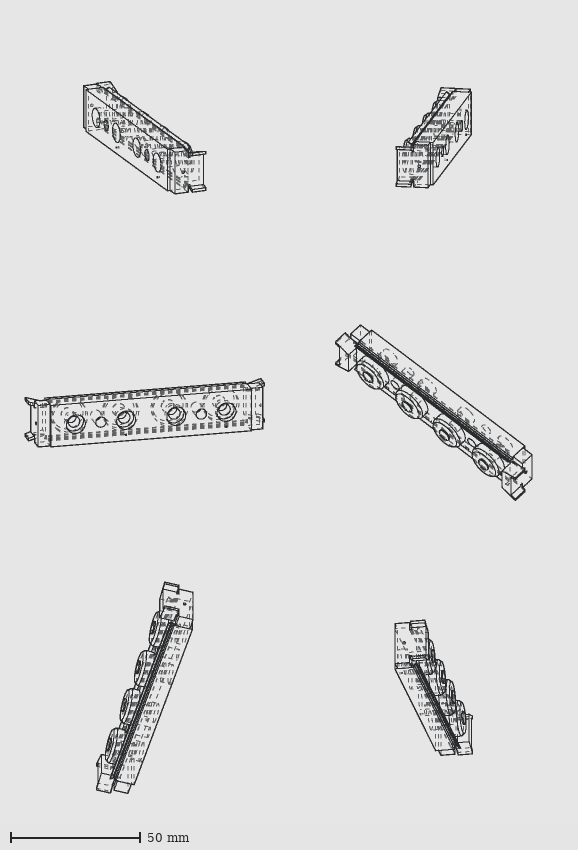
import cadquery as cq

OVERALL_LENGTH = 94.0
OVERALL_DEPTH = 13.3
HEIGHT = 17.0
HALF_HEIGHT = HEIGHT / 2

BODY_LENGTH = 80.1
BODY_DEPTH = 8.65
SHOULDER_Y = 7.3

SEAL_THICKNESS = 0.33
SEAL_ROOT_Y = 6.1
SEAL_EXIT_Y = 7.7
SEAL_EXIT_Z = 7.8
SEAL_FOLD_Y = 8.2
SEAL_FOLD_Z = 7.05
SEAL_TIP_Y = 9.7
SEAL_TIP_Z = 8.4
LIP_SLOPE = (SEAL_TIP_Z - SEAL_FOLD_Z) / (SEAL_TIP_Y - SEAL_FOLD_Y)

BORE_SPACING = 20.0
BORE_X = [step * BORE_SPACING for step in (-1.5, -0.5, 0.5, 1.5)]
COUNTERBORE_DIAMETER = 7.5
COUNTERBORE_DEPTH = 3.0
BOLT_HOLE_DIAMETER = 4.5
MOUNTING_HOLE_X = [-BORE_SPACING, BORE_SPACING]
MOUNTING_HOLE_DIAMETER = 4.1

MARKER_X = [BORE_X[1], BORE_X[3]]
MARKER_Z = -6.0
MARKER_DIAMETER = 0.5
MARKER_DEPTH = 0.9

CAP_LENGTH = 89.7
CAP_FRONT_Y = 1.1
SLOT_FRONT_Y = 6.8
SLOT_BACK_Y = 7.5
SLOT_HALF_HEIGHT = 5.5
WING_TIP_Z = 8.0
WING_ROOT_Z = 5.8
WING_THICKNESS = 1.1
DIMPLE_Y = 4.6
DIMPLE_DIAMETER = 1.0

OUTER_ROLLER_X = 30.2
INNER_ROLLER_X = 9.8
ROLLER_X = [-OUTER_ROLLER_X, -INNER_ROLLER_X, INNER_ROLLER_X, OUTER_ROLLER_X]
ROLLER_DIAMETER = 13.9
ROLLER_TOP_Y = 12.8
ROLLER_CHAMFER_WIDTH = 0.8
ROLLER_CHAMFER_HEIGHT = 1.1
BOSS_DIAMETER = 5.0


def cylinder(x, z, y_start, y_end, diameter):
    """A cylinder along +Y between two depths."""
    return cq.Workplane(
        cq.Solid.makeCylinder(diameter / 2, y_end - y_start, cq.Vector(x, y_start, z), cq.Vector(0, 1, 0))
    )


def make_body():
    """Long block whose rear shoulders are cut back to hold the seal strips."""
    underside_exit_z = SEAL_EXIT_Z - SEAL_THICKNESS
    underside_fold_z = SEAL_FOLD_Z - SEAL_THICKNESS
    upper_profile = [
        (0, HALF_HEIGHT),
        (SHOULDER_Y, HALF_HEIGHT),
        (SEAL_EXIT_Y, SEAL_EXIT_Z),
        (SEAL_ROOT_Y, SEAL_EXIT_Z),
        (SEAL_ROOT_Y, underside_exit_z),
        (SEAL_EXIT_Y, underside_exit_z),
        (SEAL_FOLD_Y, underside_fold_z),
        (BODY_DEPTH, underside_fold_z + LIP_SLOPE * (BODY_DEPTH - SEAL_FOLD_Y)),
    ]
    lower_profile = [(y, -z) for y, z in reversed(upper_profile)]
    body = (
        cq.Workplane("YZ")
        .polyline(upper_profile + lower_profile)
        .close()
        .extrude(BODY_LENGTH / 2, both=True)
    )
    for x in BORE_X:
        body = body.cut(cylinder(x, 0, 0, COUNTERBORE_DEPTH, COUNTERBORE_DIAMETER))
        body = body.cut(cylinder(x, 0, 0, BODY_DEPTH, BOLT_HOLE_DIAMETER))
    for x in MOUNTING_HOLE_X:
        body = body.cut(cylinder(x, 0, 0, BODY_DEPTH, MOUNTING_HOLE_DIAMETER))
    for x in MARKER_X:
        body = body.cut(cylinder(x, MARKER_Z, 0, MARKER_DEPTH, MARKER_DIAMETER))
    return body


def make_upper_seal():
    """Thin folded strip along the upper rear edge of the body, its lip cut off square."""
    square_cut_y = SEAL_THICKNESS * LIP_SLOPE / (1 + LIP_SLOPE**2)
    inner_tip = (SEAL_TIP_Y + square_cut_y, SEAL_TIP_Z - SEAL_THICKNESS + LIP_SLOPE * square_cut_y)
    outer_side = [
        (SEAL_ROOT_Y, SEAL_EXIT_Z),
        (SEAL_EXIT_Y, SEAL_EXIT_Z),
        (SEAL_FOLD_Y, SEAL_FOLD_Z),
        (SEAL_TIP_Y, SEAL_TIP_Z),
    ]
    inner_side = [(y, z - SEAL_THICKNESS) for y, z in reversed(outer_side[:-1])]
    return (
        cq.Workplane("YZ")
        .polyline(outer_side + [inner_tip] + inner_side)
        .close()
        .extrude(BODY_LENGTH / 2, both=True)
    )


def make_left_cap():
    """End cap: a block, then a slotted neck, then a wiper head with two flared wings."""
    outer_x = -CAP_LENGTH / 2
    inner_x = -BODY_LENGTH / 2
    tip_x = -OVERALL_LENGTH / 2
    cap_thickness = inner_x - outer_x

    def slab(y_start, y_end, half_height):
        return cq.Workplane("XY").box(
            cap_thickness, y_end - y_start, 2 * half_height, centered=(False, False, True)
        ).translate((outer_x, y_start, 0))

    block = slab(CAP_FRONT_Y, SLOT_FRONT_Y, HALF_HEIGHT)
    neck = slab(SLOT_FRONT_Y, SLOT_BACK_Y, SLOT_HALF_HEIGHT)

    wing_slope = (WING_TIP_Z - WING_ROOT_Z) / (inner_x - tip_x)
    underside_z = WING_TIP_Z - WING_THICKNESS - wing_slope * (outer_x - tip_x)
    upper_profile = [
        (inner_x, WING_ROOT_Z),
        (tip_x, WING_TIP_Z),
        (tip_x, WING_TIP_Z - WING_THICKNESS),
        (outer_x, underside_z),
    ]
    lower_profile = [(x, -z) for x, z in reversed(upper_profile)]
    head = (
        cq.Workplane("XZ", origin=(0, SLOT_BACK_Y, 0))
        .polyline(upper_profile + lower_profile)
        .close()
        .extrude(SLOT_BACK_Y - OVERALL_DEPTH)
    )

    dimple = cq.Workplane(
        cq.Solid.makeCone(
            DIMPLE_DIAMETER / 2, 0, DIMPLE_DIAMETER / 2, cq.Vector(outer_x, DIMPLE_Y, 0), cq.Vector(1, 0, 0)
        )
    )
    return block.union(neck).union(head).cut(dimple)


def make_roller(x):
    """Flat roller with a chamfered rim and a small raised boss."""
    disc_radius = ROLLER_DIAMETER / 2
    boss_radius = BOSS_DIAMETER / 2
    half_section = [
        (0, BODY_DEPTH),
        (disc_radius, BODY_DEPTH),
        (disc_radius, ROLLER_TOP_Y - ROLLER_CHAMFER_HEIGHT),
        (disc_radius - ROLLER_CHAMFER_WIDTH, ROLLER_TOP_Y),
        (boss_radius, ROLLER_TOP_Y),
        (boss_radius, OVERALL_DEPTH),
        (0, OVERALL_DEPTH),
    ]
    roller = cq.Workplane("XY").polyline(half_section).close().revolve(360, (0, 0, 0), (0, 1, 0))
    return roller.translate((x, 0, 0))


body = make_body()
upper_seal = make_upper_seal()
lower_seal = upper_seal.mirror("XY")
left_cap = make_left_cap()
right_cap = left_cap.mirror("YZ")
rollers = [make_roller(x) for x in ROLLER_X]

result = cq.Compound.makeCompound(
    [
        body.val(),
        upper_seal.val(),
        lower_seal.val(),
        left_cap.val(),
        right_cap.val(),
        *[roller.val() for roller in rollers],
    ]
)